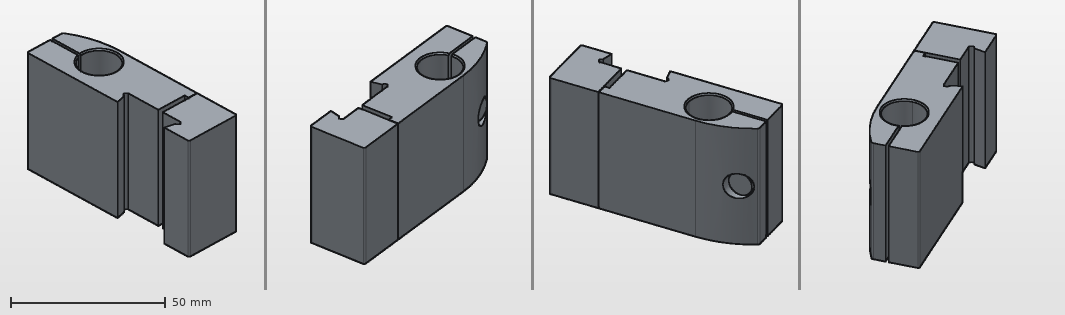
import cadquery as cq
import math

length = 74.2
depth = 22.0
height = 45.0
corner_radius = 0.6

bore_x = 20.5
bore_y = 12.55
bore_diameter = 15.0
bore_chamfer = 0.5
nose_radius = 40.1
nose_tip_radius = 1.0

slit_bottom = 10.5
slit_width = 1.05

screw_x = 6.15
screw_diameter = 4.1
head_diameter = 8.5
head_top = 17.7
head_height = 4.1
counterbore_diameter = 9.5

jaw_x = 56.1
joint_width = 0.2
gap_width = 2.0
gap_top = 18.1

rod_diameter = 4.75
rod_y = 11.1
rod_spacing = 24.2
rod_embedding = 3.7

channel_center_x = 52.15
mouth_width = 21.4
channel_depth = 6.1
flank_angle = 14.0
relief_radius = 1.0
relief_spacing = 23.4

mid_z = height / 2


def box(x_min, x_max, y_min, y_max):
    """Full-height rectangular prism."""
    return (
        cq.Workplane("XY")
        .moveTo(x_min, y_min)
        .lineTo(x_max, y_min)
        .lineTo(x_max, y_max)
        .lineTo(x_min, y_max)
        .close()
        .extrude(height)
    )


def y_cylinder(diameter, y_min, y_max):
    """Cylinder on the clamping screw axis."""
    start = cq.Vector(screw_x, y_min, mid_z)
    return cq.Workplane(cq.Solid.makeCylinder(diameter / 2, y_max - y_min, start, cq.Vector(0, 1, 0)))


def nose_y(x):
    """Height in Y of the nose arc, which is tangent to the back face above the bore."""
    return depth - nose_radius + math.sqrt(nose_radius**2 - (bore_x - x) ** 2)


def make_block():
    block = (
        cq.Workplane("XY")
        .lineTo(length, 0)
        .lineTo(length, depth)
        .lineTo(bore_x, depth)
        .threePointArc((bore_x / 2, nose_y(bore_x / 2)), (0, nose_y(0)))
        .close()
        .extrude(height)
    )
    block = block.edges("|Z and >X").fillet(corner_radius)
    front_corner = cq.selectors.NearestToPointSelector((0, 0, mid_z))
    nose_tip = cq.selectors.NearestToPointSelector((0, nose_y(0), mid_z))
    return block.edges(front_corner).fillet(corner_radius).edges(nose_tip).fillet(nose_tip_radius)


def make_bore():
    bore = cq.Workplane("XY").center(bore_x, bore_y).circle(bore_diameter / 2).extrude(height)
    rim = cq.Solid.makeCone(
        bore_diameter / 2 + bore_chamfer,
        bore_diameter / 2,
        bore_chamfer,
        cq.Vector(bore_x, bore_y, 0),
    )
    lower_rim = cq.Workplane(rim)
    upper_rim = lower_rim.mirror("XY", (0, 0, mid_z))
    return bore.union(lower_rim).union(upper_rim)


def make_channel():
    half_mouth = mouth_width / 2
    flank_height = channel_depth - relief_radius
    half_top = half_mouth + flank_height * math.tan(math.radians(flank_angle))
    channel = (
        cq.Workplane("XY")
        .moveTo(channel_center_x - half_mouth, 0)
        .lineTo(channel_center_x + half_mouth, 0)
        .lineTo(channel_center_x + half_top, flank_height)
        .lineTo(channel_center_x + half_top, channel_depth)
        .lineTo(channel_center_x - half_top, channel_depth)
        .lineTo(channel_center_x - half_top, flank_height)
        .close()
        .extrude(height)
    )
    for side in (-1, 1):
        relief_x = channel_center_x + side * relief_spacing / 2
        relief = cq.Workplane("XY").center(relief_x, flank_height).circle(relief_radius).extrude(height)
        channel = channel.union(relief)
    return channel


def make_tie_rods():
    rod_start = jaw_x - gap_width - rod_embedding
    return (
        cq.Workplane("YZ", origin=(rod_start, rod_y, mid_z))
        .rarray(0.75, rod_spacing, 1, 2)
        .circle(rod_diameter / 2)
        .extrude(gap_width + 2 * rod_embedding)
    )


slit_top = slit_bottom + slit_width
head_seat = head_top - head_height

result = (
    make_block()
    .cut(make_bore())
    .cut(box(0, bore_x, slit_bottom, slit_top))
    .cut(make_channel())
    .cut(box(jaw_x - gap_width, jaw_x, 0, gap_top))
    .cut(box(jaw_x - joint_width, jaw_x, gap_top, depth))
    .cut(y_cylinder(counterbore_diameter, head_seat, depth))
    .union(y_cylinder(head_diameter, head_seat, head_top))
    .union(y_cylinder(screw_diameter, slit_bottom, slit_top))
    .union(make_tie_rods())
)